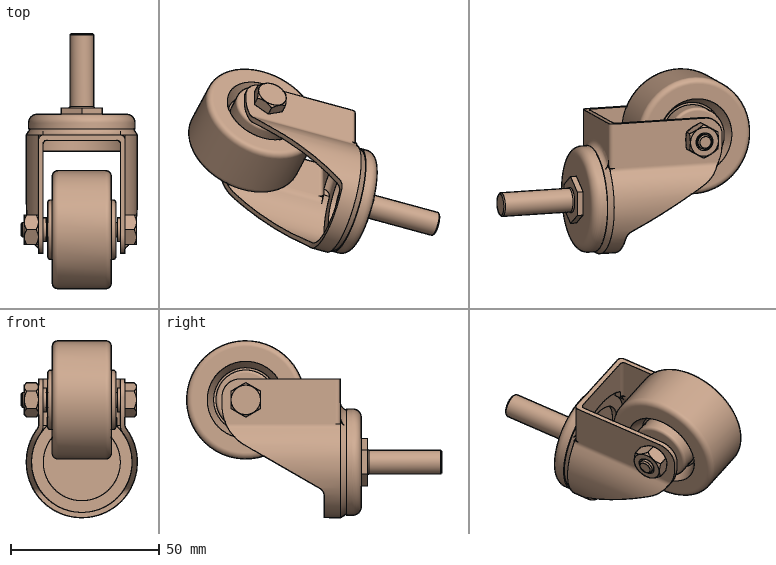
import cadquery as cq
import math


drum_radius = 18.8
drum_wall = 1.8
floor_thickness = 1.8
leg_outer = 14.55
leg_wall = 1.55
leg_inner = leg_outer - leg_wall
fork_top = 28.1
throat_blend = 2.75
corner_radius = 1.55
inner_corner_radius = 1.2
collar_height = 2.1
collar_radius = 17.5
flare_rise = 1.4
floor_hole_radius = 13.0
skirt_depth = 5.5
skirt_blend = 3.0
leg_slope = 30
slope_drop = 9.7
leg_end_reach = 8.0
leg_tip_top_radius = 6.0
leg_tip_bottom_radius = 15.4

axle_y = -31.95
axle_z = 21.0
wheel_radius = 20.0
wheel_width = 20.0
wheel_edge_radius = 2.0
hub_width = 23.1
hub_radius = 10.1
hub_edge_radius = 1.0
groove_outer_radius = 13.0
groove_root_radius = 10.85
groove_depth = 5.0

bolt_radius = 2.5
bolt_tip_chamfer = 0.5
bolt_protrusion = 1.0
hex_flats = 10.1
hex_chamfer = 0.9
head_height = 4.0
nut_height = 4.9
nut_countersink = 0.5
washer_radius = 4.05
washer_thickness = 1.0

cap_radius = 18.0
cap_height = 5.0
cap_edge_radius = 3.0
flange_flats = 13.95
flange_height = 2.1
stem_radius = 4.05
stem_tip = 34.2
stem_chamfer = 0.4
stem_root_height = 0.5
stem_root_flare = 0.3

leg_end = axle_y - leg_end_reach


def cylinder_x(radius, x_from, x_to):
    """Cylinder on the wheel axle."""
    plane = cq.Plane(origin=(x_from, axle_y, axle_z), xDir=(0, 1, 0), normal=(1, 0, 0))
    return cq.Workplane(plane).circle(radius).extrude(x_to - x_from)


def cylinder_y(radius, y_from, y_to):
    """Cylinder on the stem axis."""
    plane = cq.Plane(origin=(0, y_from, 0), xDir=(0, 0, 1), normal=(0, 1, 0))
    return cq.Workplane(plane).circle(radius).extrude(y_to - y_from)


def hexagon(plane, flats, height):
    """Hexagonal prism with two corners along the plane's x direction."""
    return cq.Workplane(plane).polygon(6, flats / math.cos(math.pi / 6)).extrude(height)


def keyhole_block(half_width, radius, blend, bend_radius, y_back, top):
    """Solid from y_back to the leg ends: a drum that narrows into an upright block."""
    blend_x = half_width + blend
    blend_z = math.sqrt((radius + blend) ** 2 - blend_x ** 2)
    tangent_x = blend_x * radius / (radius + blend)
    tangent_z = blend_z * radius / (radius + blend)
    turn = math.atan2(blend_z, blend_x) / 2
    mid_x = blend_x - blend * math.cos(turn)
    mid_z = blend_z - blend * math.sin(turn)
    length = y_back - leg_end
    drum = (
        cq.Workplane("XZ", origin=(0, y_back, 0))
        .moveTo(half_width, blend_z)
        .threePointArc((mid_x, mid_z), (tangent_x, tangent_z))
        .threePointArc((0, -radius), (-tangent_x, tangent_z))
        .threePointArc((-mid_x, mid_z), (-half_width, blend_z))
        .close()
        .extrude(length)
    )
    upright = (
        cq.Workplane("XY")
        .box(2 * half_width, length, top, centered=(True, False, False))
        .translate((0, leg_end, 0))
        .edges("|Z and >Y")
        .fillet(bend_radius)
    )
    return drum.union(upright)


def side_outline():
    """Fork side shape: short skirt at the bottom, legs sloping up to the axle."""
    rise = math.tan(math.radians(leg_slope))
    slope_end_z = (-skirt_depth - leg_end) * rise - slope_drop
    bottom = -2 * drum_radius
    blank = (
        cq.Workplane("YZ", origin=(-drum_radius, 0, 0))
        .moveTo(collar_height, fork_top)
        .lineTo(leg_end, fork_top)
        .lineTo(leg_end, slope_end_z)
        .lineTo(-skirt_depth, -slope_drop)
        .lineTo(-skirt_depth, bottom)
        .lineTo(collar_height, bottom)
        .close()
        .extrude(2 * drum_radius)
    )

    def corner(y, z):
        reach = 0.1
        return cq.selectors.BoxSelector((-reach, y - reach, z - reach), (reach, y + reach, z + reach))

    return (
        blank.edges(corner(leg_end, fork_top)).fillet(leg_tip_top_radius)
        .edges(corner(leg_end, slope_end_z)).fillet(leg_tip_bottom_radius)
        .edges(corner(-skirt_depth, -slope_drop)).fillet(skirt_blend)
    )


def collar():
    """Tapered collar behind the back plate, flared where the plate rises above it."""
    cone = (
        cq.Workplane("XY")
        .polyline([(0, 0), (drum_radius, 0), (collar_radius, collar_height), (0, collar_height)])
        .close()
        .revolve(360, (0, 0, 0), (0, 1, 0))
    )
    taper = math.atan2(drum_radius - collar_radius, collar_height)
    flare_radius = flare_rise / math.tan((math.pi / 2 - taper) / 2)
    taper_point = (drum_radius - flare_rise * math.sin(taper), flare_rise * math.cos(taper))
    ring = (
        cq.Workplane("XY")
        .moveTo(drum_radius - flare_rise, 0)
        .lineTo(drum_radius + flare_rise, 0)
        .radiusArc(taper_point, flare_radius)
        .close()
        .revolve(360, (0, 0, 0), (0, 1, 0))
    )
    plate_span = cq.Workplane("XY").box(
        2 * (leg_outer - corner_radius), collar_height, fork_top, centered=(True, False, False)
    )
    return cone.union(ring.intersect(plate_span))


def pressed_recess():
    """Round recess pressed into the collar, with a rounded rim where it leaves the back plate."""
    radius = drum_radius - drum_wall
    rim_radius = collar_height
    recess_floor = collar_height - floor_thickness
    recess = cylinder_y(radius, -floor_thickness, recess_floor)
    rim = (
        cq.Workplane("XY")
        .moveTo(0, -floor_thickness)
        .lineTo(radius + rim_radius, -floor_thickness)
        .radiusArc((radius, recess_floor), -rim_radius)
        .lineTo(0, recess_floor)
        .close()
        .revolve(360, (0, 0, 0), (0, 1, 0))
    )
    plate_span = cq.Workplane("XY").box(
        2 * (leg_inner - inner_corner_radius), 2 * drum_radius, fork_top, centered=(True, True, False)
    )
    return recess.union(rim.intersect(plate_span))


def make_fork():
    body = keyhole_block(leg_outer, drum_radius, throat_blend, corner_radius, 0, fork_top)
    cavity = keyhole_block(
        leg_inner, drum_radius - drum_wall, throat_blend + leg_wall,
        inner_corner_radius, -floor_thickness, 2 * fork_top,
    )
    floor_hole = cylinder_y(floor_hole_radius, 0, collar_height)
    bolt_hole = cylinder_x(bolt_radius, -leg_outer, leg_outer)
    shell = body.cut(cavity).intersect(side_outline())
    return shell.union(collar()).cut(pressed_recess()).cut(floor_hole).cut(bolt_hole)


def make_stem():
    """Stem, hexagonal flange and swivel cap in one piece."""
    cap_top = collar_height + cap_height
    flange_top = cap_top + flange_height
    cap = cylinder_y(cap_radius, collar_height, cap_top).faces(">Y").edges().fillet(cap_edge_radius)
    flange_plane = cq.Plane(origin=(0, cap_top, 0), xDir=(0, 0, 1), normal=(0, 1, 0))
    flange = hexagon(flange_plane, flange_flats, flange_height)
    rod = cylinder_y(stem_radius, flange_top, stem_tip).faces(">Y").chamfer(stem_chamfer)
    root = (
        cq.Workplane("XY")
        .moveTo(0, flange_top)
        .lineTo(stem_radius + stem_root_flare, flange_top)
        .lineTo(stem_radius, flange_top + stem_root_height)
        .lineTo(0, flange_top + stem_root_height)
        .close()
        .revolve(360, (0, 0, 0), (0, 1, 0))
    )
    return cap.union(flange).union(rod).union(root)


def make_wheel():
    """Wheel with a rounded tread and a groove around the hub on each side."""
    half_width = wheel_width / 2
    half_hub = hub_width / 2
    groove_x = half_width - groove_depth
    section = (
        cq.Workplane("XY")
        .moveTo(-half_hub, bolt_radius)
        .lineTo(half_hub, bolt_radius)
        .lineTo(half_hub, hub_radius - hub_edge_radius)
        .radiusArc((half_hub - hub_edge_radius, hub_radius), -hub_edge_radius)
        .lineTo(groove_x, hub_radius)
        .lineTo(groove_x, groove_root_radius)
        .lineTo(half_width, groove_outer_radius)
        .lineTo(half_width, wheel_radius - wheel_edge_radius)
        .radiusArc((half_width - wheel_edge_radius, wheel_radius), -wheel_edge_radius)
        .lineTo(wheel_edge_radius - half_width, wheel_radius)
        .radiusArc((-half_width, wheel_radius - wheel_edge_radius), -wheel_edge_radius)
        .lineTo(-half_width, groove_outer_radius)
        .lineTo(-groove_x, groove_root_radius)
        .lineTo(-groove_x, hub_radius)
        .lineTo(hub_edge_radius - half_hub, hub_radius)
        .radiusArc((-half_hub, hub_radius - hub_edge_radius), -hub_edge_radius)
        .close()
    )
    wheel = section.revolve(360, (0, 0, 0), (1, 0, 0))
    return wheel.translate((0, axle_y, axle_z))


def axle_hexagon(x_from, height):
    """Hexagonal prism on the wheel axle."""
    plane = cq.Plane(origin=(x_from, axle_y, axle_z), xDir=(0, 0, 1), normal=(1, 0, 0))
    return hexagon(plane, hex_flats, height)


def hexagon_envelope(x_from, height):
    """Cylinder through the hexagon corners, chamfered to trim them."""
    return cylinder_x(hex_flats / 2 / math.cos(math.pi / 6), x_from, x_from + height)


def make_bolt():
    tip_x = -leg_outer - nut_height - bolt_protrusion
    shank = cylinder_x(bolt_radius, tip_x, leg_outer).faces("<X").chamfer(bolt_tip_chamfer)
    envelope = hexagon_envelope(leg_outer, head_height).faces(">X").chamfer(hex_chamfer)
    head = axle_hexagon(leg_outer, head_height).intersect(envelope)
    return shank.union(head)


def make_nut():
    outer_x = -leg_outer - nut_height
    envelope = hexagon_envelope(outer_x, nut_height).faces("<X or >X").chamfer(hex_chamfer)
    nut = axle_hexagon(outer_x, nut_height).intersect(envelope)
    bored = nut.cut(cylinder_x(bolt_radius, outer_x, -leg_outer))
    bore_rim = bored.faces("<X").edges(cq.selectors.RadiusNthSelector(0))
    return bore_rim.chamfer(nut_countersink)


def make_washer(side):
    """Washer against the inside of one leg; side is -1 or 1."""
    x_from = leg_inner - washer_thickness if side > 0 else -leg_inner
    washer = cylinder_x(washer_radius, x_from, x_from + washer_thickness)
    return washer.cut(cylinder_x(bolt_radius, x_from, x_from + washer_thickness))


fork = make_fork()
stem = make_stem()
wheel = make_wheel()
bolt = make_bolt()
nut = make_nut()
washers = [make_washer(side) for side in (-1, 1)]

result = cq.Compound.makeCompound([
    fork.val(),
    stem.val(),
    wheel.val(),
    bolt.val(),
    nut.val(),
    *[washer.val() for washer in washers],
])